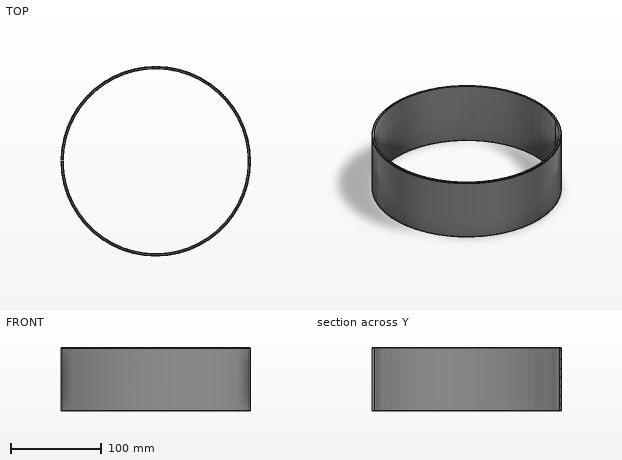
import cadquery as cq

outer_diameter = 210.0
wall = 2.5
height = 70.0
slit_width = 1.7
rim_chamfer = 0.6

outer_radius = outer_diameter / 2
inner_radius = outer_radius - wall

bore = cq.Workplane("XY").circle(inner_radius).extrude(height)
band = (
    cq.Workplane("XY")
    .circle(outer_radius)
    .extrude(height)
    .edges("%CIRCLE")
    .chamfer(rim_chamfer)
    .cut(bore)
)

slit_length = 4 * wall
slit = (
    cq.Workplane("XY")
    .center(-outer_radius, slit_width / 2)
    .rect(slit_length, slit_width)
    .extrude(height)
)

result = band.cut(slit)